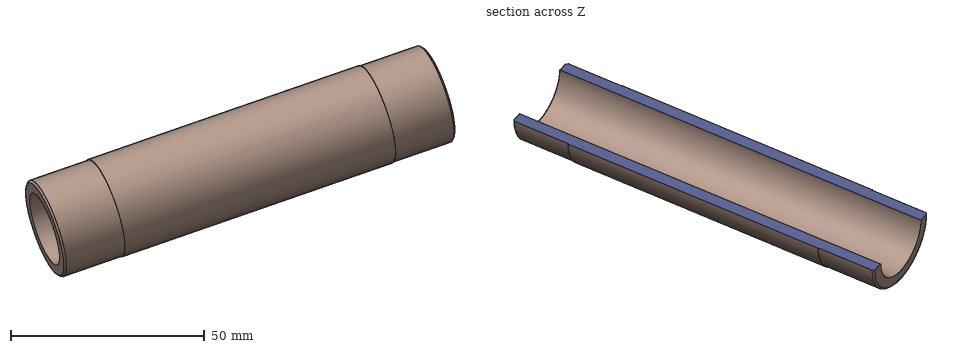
import cadquery as cq

length = 110.0
body_diameter = 26.7
end_diameter = 26.4
bore_diameter = 19.7
end_length = 16.9
end_chamfer = 0.5


def cylinder_along_y(diameter, cylinder_length):
    """Cylinder on the Y axis, centred on the origin."""
    start_plane = cq.Workplane("XZ", origin=(0, cylinder_length / 2, 0))
    return start_plane.circle(diameter / 2).extrude(cylinder_length)


end_sections = cylinder_along_y(end_diameter, length).edges("%CIRCLE").chamfer(end_chamfer)

body = cylinder_along_y(body_diameter, length - 2 * end_length)

bore = cylinder_along_y(bore_diameter, length)

result = end_sections.union(body).cut(bore)